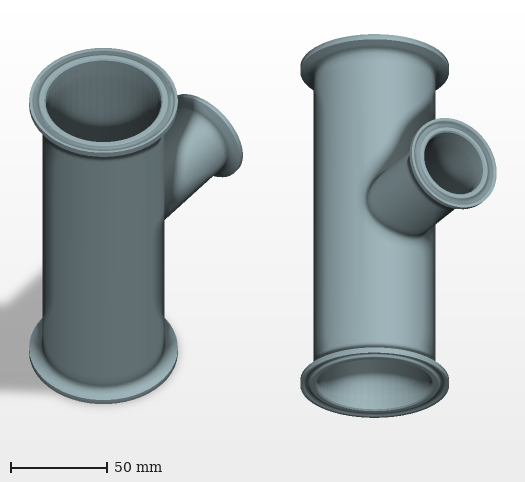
import cadquery as cq
import math

RUN_LENGTH = 184.2
BRANCH_REACH = 85.69
FERRULE_LENGTH = 12.5

RUN_DIAMETER = 63.5
BRANCH_DIAMETER = 38.1
WALL = 1.65
SADDLE_FILLET = 1.5

RUN_FLANGE_DIAMETER = 77.4
RUN_RIM = 3.0
RUN_CONE_ANGLE = 18.0
RUN_NECK_FILLET = 1.8
RUN_GROOVE_DIAMETER = 70.6
BRANCH_FLANGE_DIAMETER = 50.4
BRANCH_RIM = 2.5
BRANCH_CONE_ANGLE = 25.0
BRANCH_NECK_FILLET = 1.2
BRANCH_GROOVE_DIAMETER = 43.6
BORE_CHAMFER = 0.75
GROOVE_WIDTH = 3.2
GROOVE_DEPTH = 1.6
GROOVE_LIP_FILLET = 0.8

SELECT_MARGIN = 0.01


def rod(diameter, length):
    return cq.Workplane("XY").circle(diameter / 2).extrude(length)


def circles_within(radius, height):
    """Selector for the edges around Z that lie at a height and reach no farther than a radius."""
    reach = radius + SELECT_MARGIN
    return cq.selectors.BoxSelector(
        (-reach, -reach, height - SELECT_MARGIN),
        (reach, reach, height + SELECT_MARGIN),
        boundingbox=True,
    )


def make_ferrule(tube_diameter, flange_diameter, rim, cone_angle, neck_fillet, groove_diameter):
    """Clamp ferrule with its sealing face on Z = 0 and its neck pointing to +Z."""
    neck_radius = tube_diameter / 2
    bore_radius = neck_radius - WALL
    flange_radius = flange_diameter / 2
    cone_height = (flange_radius - neck_radius) * math.tan(math.radians(cone_angle))
    cone_top = rim + cone_height

    body = (
        cq.Workplane("XZ")
        .moveTo(bore_radius + BORE_CHAMFER, 0)
        .lineTo(flange_radius, 0)
        .lineTo(flange_radius, rim)
        .lineTo(neck_radius, cone_top)
        .lineTo(neck_radius, FERRULE_LENGTH)
        .lineTo(bore_radius, FERRULE_LENGTH)
        .lineTo(bore_radius, BORE_CHAMFER)
        .close()
        .revolve(360, (0, 0, 0), (0, 1, 0))
    )
    body = body.edges(circles_within(flange_radius, cone_top)).fillet(neck_fillet)

    groove_radius = groove_diameter / 2
    groove = (
        cq.Workplane("XZ")
        .moveTo(groove_radius - GROOVE_WIDTH / 2, 0)
        .threePointArc((groove_radius, GROOVE_DEPTH), (groove_radius + GROOVE_WIDTH / 2, 0))
        .close()
        .revolve(360, (0, 0, 0), (0, 1, 0))
    )
    body = body.cut(groove)

    up_to_groove = circles_within(groove_radius + GROOVE_WIDTH / 2, 0)
    bore_edge = circles_within(bore_radius + BORE_CHAMFER, 0)
    return body.edges(up_to_groove - bore_edge).fillet(GROOVE_LIP_FILLET)


def make_tee():
    """Run tube and branch tube as one body, open at all three ends."""
    run_length = RUN_LENGTH - 2 * FERRULE_LENGTH
    branch_length = BRANCH_REACH - FERRULE_LENGTH

    def point_along_branch(part):
        return part.rotate((0, 0, 0), (1, 0, 0), -90)

    outside = rod(RUN_DIAMETER, run_length).translate((0, 0, -run_length / 2))
    outside = outside.union(point_along_branch(rod(BRANCH_DIAMETER, branch_length)))
    reach_across = BRANCH_DIAMETER / 2 + SELECT_MARGIN
    reach_out = RUN_DIAMETER / 2 + SELECT_MARGIN
    saddle = cq.selectors.BoxSelector(
        (-reach_across, 0, -reach_across),
        (reach_across, reach_out, reach_across),
        boundingbox=True,
    )
    outside = outside.edges(saddle).fillet(SADDLE_FILLET)

    run_bore = rod(RUN_DIAMETER - 2 * WALL, run_length).translate((0, 0, -run_length / 2))
    branch_bore = point_along_branch(rod(BRANCH_DIAMETER - 2 * WALL, branch_length))
    return outside.cut(run_bore).cut(branch_bore)


tee = make_tee()

run_ferrule = make_ferrule(
    RUN_DIAMETER,
    RUN_FLANGE_DIAMETER,
    RUN_RIM,
    RUN_CONE_ANGLE,
    RUN_NECK_FILLET,
    RUN_GROOVE_DIAMETER,
)
bottom_ferrule = run_ferrule.translate((0, 0, -RUN_LENGTH / 2))
top_ferrule = bottom_ferrule.rotate((0, 0, 0), (1, 0, 0), 180)

branch_ferrule = (
    make_ferrule(
        BRANCH_DIAMETER,
        BRANCH_FLANGE_DIAMETER,
        BRANCH_RIM,
        BRANCH_CONE_ANGLE,
        BRANCH_NECK_FILLET,
        BRANCH_GROOVE_DIAMETER,
    )
    .rotate((0, 0, 0), (1, 0, 0), 90)
    .translate((0, BRANCH_REACH, 0))
)

result = cq.Compound.makeCompound(
    [tee.val(), bottom_ferrule.val(), top_ferrule.val(), branch_ferrule.val()]
)